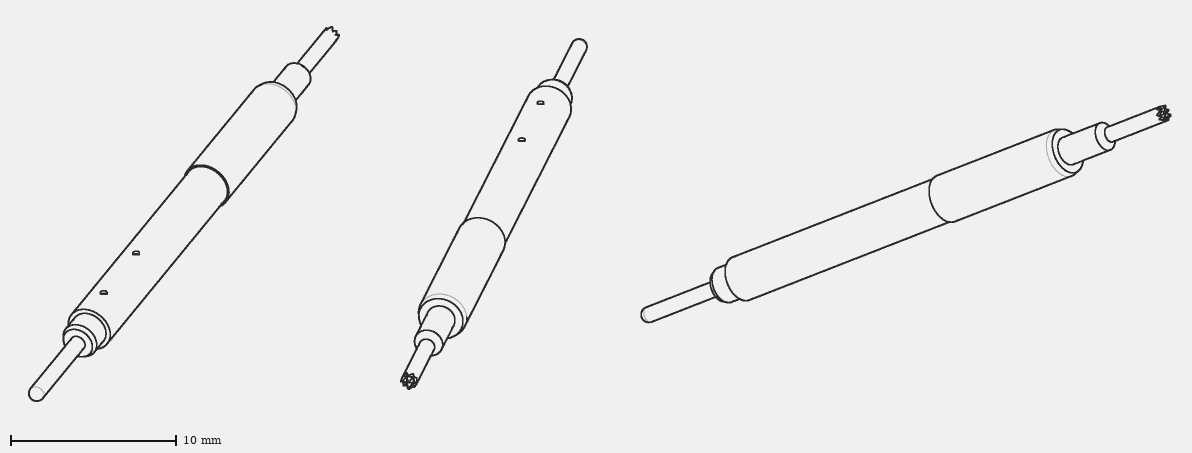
import cadquery as cq
import math

total_length = 43.3

front_pin_radius = 0.48
front_pin_length = 6.45

collar_radius = 1.12
collar_length = 1.65
collar_chamfer_length = 0.3
collar_chamfer_depth = 0.15

barrel_radius = 1.4
barrel_length = 17.0
sleeve_radius = 1.5
sleeve_length = 10.1
sleeve_chamfer_length = 0.4
sleeve_chamfer_depth = 0.12

plunger_radius = 0.88
plunger_length = 3.1
taper_length = 0.4
rear_pin_radius = 0.48

crown_groove_depth = 0.32
crown_groove_half_width = 0.17
crown_groove_offset = 0.2

dimple_radius = 0.2
dimple_depth = 0.2
dimple_setbacks = (2.1, 6.8)

collar_start = front_pin_length
barrel_start = collar_start + collar_length
sleeve_start = barrel_start + barrel_length
plunger_start = sleeve_start + sleeve_length
taper_start = plunger_start + plunger_length
rear_pin_start = taper_start + taper_length


def turned_body():
    """Revolve the half outline (radius along X, station along Y) about the Y axis."""
    arc_midpoint = front_pin_radius * math.sin(math.pi / 4)
    outline = (
        cq.Workplane("XY")
        .moveTo(0, 0)
        .threePointArc((arc_midpoint, front_pin_radius - arc_midpoint), (front_pin_radius, front_pin_radius))
        .lineTo(front_pin_radius, collar_start)
        .lineTo(collar_radius - collar_chamfer_depth, collar_start)
        .lineTo(collar_radius, collar_start + collar_chamfer_length)
        .lineTo(collar_radius, barrel_start)
        .lineTo(barrel_radius, barrel_start)
        .lineTo(barrel_radius, sleeve_start)
        .lineTo(sleeve_radius, sleeve_start)
        .lineTo(sleeve_radius, plunger_start - sleeve_chamfer_length)
        .lineTo(sleeve_radius - sleeve_chamfer_depth, plunger_start)
        .lineTo(plunger_radius, plunger_start)
        .lineTo(plunger_radius, taper_start)
        .lineTo(rear_pin_radius, rear_pin_start)
        .lineTo(rear_pin_radius, total_length)
        .lineTo(0, total_length)
        .close()
    )
    return outline.revolve(360, (0, 0, 0), (0, 1, 0))


def crown_groove(offset, angle):
    """V-shaped cutter beside the rear pin's axis, turned about Y by the given angle."""
    return (
        cq.Workplane("XY")
        .moveTo(offset - crown_groove_half_width, total_length)
        .lineTo(offset, total_length - crown_groove_depth)
        .lineTo(offset + crown_groove_half_width, total_length)
        .close()
        .extrude(2 * rear_pin_radius, both=True)
        .rotate((0, 0, 0), (0, 1, 0), angle)
    )


def dimple(setback):
    """Round blind cutter going down into the top of the barrel."""
    return (
        cq.Workplane("XY", origin=(0, barrel_start + setback, barrel_radius - dimple_depth))
        .circle(dimple_radius)
        .extrude(2 * dimple_depth)
    )


probe = turned_body()
for groove_angle in (0, 90):
    for groove_offset in (-crown_groove_offset, crown_groove_offset):
        probe = probe.cut(crown_groove(groove_offset, groove_angle))
for dimple_setback in dimple_setbacks:
    probe = probe.cut(dimple(dimple_setback))

result = probe.translate((0, -total_length / 2, 0))